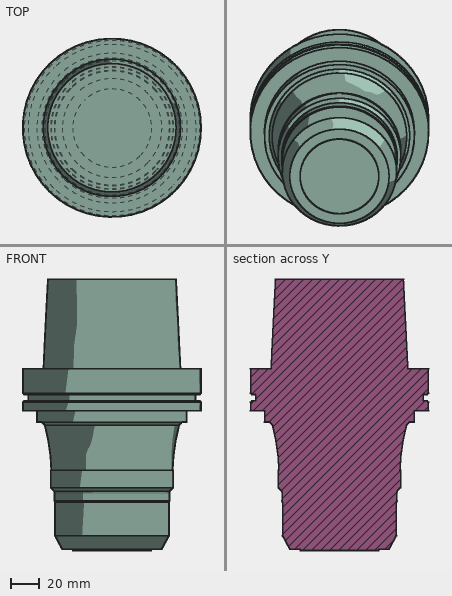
import cadquery as cq

total_height = 190.0
flange_top = 127.3
groove_top = 109.0
groove_bottom = 104.9
flange_bottom = 97.7
collar_bottom = 89.9
flare_bottom = 56.0
band_bottom = 44.0
land_top = 40.5
land_bottom = 35.0
nose_bottom = 10.5
end_face = 0.8

shank_base_radius = 48.0
shank_taper = 1 / 10
shank_top_radius = shank_base_radius - shank_taper / 2 * (total_height - flange_top)

flange_radius = 125.0 / 2
groove_radius = 117.5 / 2
groove_lip_chamfer = 1.1
groove_mouth_radius = flange_radius - groove_lip_chamfer
collar_radius = 105.0 / 2

flare_entry_radius = 49.2
flare_entry_chamfer = 2.0
flare_top_radius = flare_entry_radius - flare_entry_chamfer
flare_top = collar_bottom - flare_entry_chamfer
flare_middle = (flare_top + flare_bottom) / 2
flare_middle_radius = 43.9
flare_bottom_radius = 42.5

band_radius = 86.0 / 2
band_chamfer = 2.5
land_radius = 80.8 / 2
nose_radius = 80.0 / 2
land_ramp_height = 1.1
end_face_radius = 34.8
end_boss_radius = 55.1 / 2

profile = (
    cq.Workplane("XZ")
    .moveTo(0, 0)
    .lineTo(end_boss_radius, 0)
    .lineTo(end_boss_radius, end_face)
    .lineTo(end_face_radius, end_face)
    .lineTo(nose_radius, nose_bottom)
    .lineTo(nose_radius, land_bottom - land_ramp_height)
    .lineTo(land_radius, land_bottom)
    .lineTo(land_radius, land_top)
    .lineTo(band_radius - band_chamfer, band_bottom - band_chamfer)
    .lineTo(band_radius, band_bottom)
    .lineTo(band_radius, flare_bottom)
    .lineTo(flare_bottom_radius, flare_bottom)
    .threePointArc((flare_middle_radius, flare_middle), (flare_top_radius, flare_top))
    .lineTo(flare_entry_radius, collar_bottom)
    .lineTo(collar_radius, collar_bottom)
    .lineTo(collar_radius, flange_bottom)
    .lineTo(flange_radius, flange_bottom)
    .lineTo(flange_radius, groove_bottom - groove_lip_chamfer)
    .lineTo(groove_mouth_radius, groove_bottom)
    .lineTo(groove_radius, groove_bottom)
    .lineTo(groove_radius, groove_top)
    .lineTo(groove_mouth_radius, groove_top)
    .lineTo(flange_radius, groove_top + groove_lip_chamfer)
    .lineTo(flange_radius, flange_top)
    .lineTo(shank_base_radius, flange_top)
    .lineTo(shank_top_radius, total_height)
    .lineTo(0, total_height)
    .close()
)

result = profile.revolve(360, (0, 0), (0, 1))